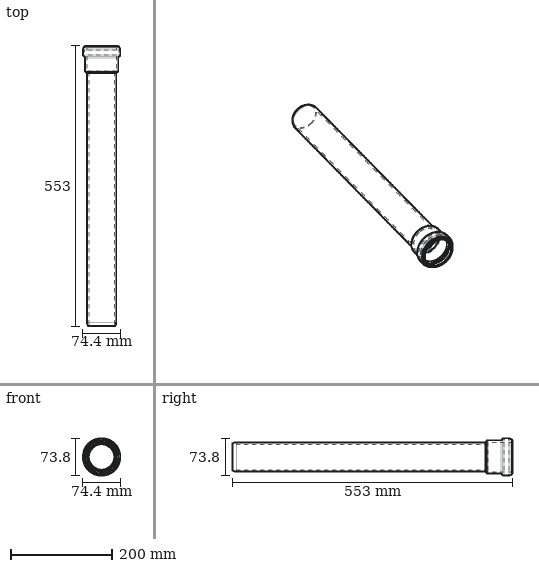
import cadquery as cq
import math


total_length = 553.0
pipe_outer_radius = 58.0 / 2
pipe_bore_radius = 50.0 / 2

spigot_rounding_length = 7.0
spigot_rounding_depth = 2.3

socket_outer_radius = 66.1 / 2
socket_bore_radius = 58.5 / 2
socket_length = 54.0
socket_shoulder_length = 5.0
shoulder_rounding_length = 1.8
shoulder_rounding_depth = 0.5

bead_outer_radius = 74.4 / 2
bead_edge_radius = 73.8 / 2
bead_mouth_radius = 64.6 / 2
bead_lip_radius = 71.2 / 2
bead_lip_length = 3.6
bead_rim_radius = 69.6 / 2
bead_rim_length = 2.2
bead_crown_start = 7.3
bead_crown_end = 17.5
bead_end = 24.0
seal_groove_radius = 67.6 / 2

spigot_end_y = -total_length / 2
mouth_y = total_length / 2
socket_end_y = mouth_y - socket_length
shoulder_y = socket_end_y + socket_shoulder_length
bead_end_y = mouth_y - bead_end
crown_end_y = mouth_y - bead_crown_end
rim_y = mouth_y - bead_rim_length
lip_y = mouth_y - bead_lip_length
crown_start_y = mouth_y - bead_crown_start


def revolve_about_axis(profile):
    """Turn a closed half profile (radius along X, axis along Y) into a solid."""
    return profile.close().revolve(360, (0, 0, 0), (0, 1, 0))


def rounding_mid(start, end):
    """Middle point of the convex arc that leaves start parallel to the axis and reaches end."""
    drop = start[0] - end[0]
    run = abs(end[1] - start[1])
    direction = math.copysign(1, end[1] - start[1])
    arc_radius = (run**2 + drop**2) / (2 * drop)
    half_angle = math.atan2(run, arc_radius - drop) / 2
    mid_radius = start[0] - arc_radius * (1 - math.cos(half_angle))
    return (mid_radius, start[1] + direction * arc_radius * math.sin(half_angle))


def outer_body():
    """Solid envelope of the spigot, pipe, socket and bead."""
    rear_mid = ((bead_edge_radius + socket_outer_radius) / 2, (crown_end_y + bead_end_y) / 2)
    crown_mid = (bead_outer_radius, (crown_start_y + crown_end_y) / 2)
    spigot_start = (pipe_outer_radius, spigot_end_y + spigot_rounding_length)
    spigot_tip = (pipe_outer_radius - spigot_rounding_depth, spigot_end_y)
    shoulder_start = (socket_outer_radius, shoulder_y)
    shoulder_cone_start = (
        socket_outer_radius - shoulder_rounding_depth,
        shoulder_y - shoulder_rounding_length,
    )
    profile = (
        cq.Workplane("XY")
        .moveTo(0, spigot_end_y)
        .lineTo(*spigot_tip)
        .threePointArc(rounding_mid(spigot_start, spigot_tip), spigot_start)
        .lineTo(pipe_outer_radius, socket_end_y)
        .lineTo(*shoulder_cone_start)
        .threePointArc(rounding_mid(shoulder_start, shoulder_cone_start), shoulder_start)
        .lineTo(socket_outer_radius, bead_end_y)
        .tangentArcPoint(rear_mid, relative=False)
        .tangentArcPoint((bead_edge_radius, crown_end_y), relative=False)
        .threePointArc(crown_mid, (bead_edge_radius, crown_start_y))
        .tangentArcPoint((bead_lip_radius, lip_y), relative=False)
        .tangentArcPoint((bead_rim_radius, rim_y), relative=False)
        .lineTo(bead_mouth_radius, mouth_y)
        .lineTo(0, mouth_y)
    )
    return revolve_about_axis(profile)


def inner_space():
    """Pipe bore, tapered step, wider socket bore and the seal groove under the bead crown."""
    profile = (
        cq.Workplane("XY")
        .moveTo(0, spigot_end_y)
        .lineTo(pipe_bore_radius, spigot_end_y)
        .lineTo(pipe_bore_radius, socket_end_y)
        .lineTo(socket_bore_radius, shoulder_y)
        .lineTo(socket_bore_radius, crown_end_y)
        .lineTo(seal_groove_radius, crown_end_y)
        .lineTo(seal_groove_radius, crown_start_y)
        .lineTo(socket_bore_radius, crown_start_y)
        .lineTo(socket_bore_radius, mouth_y)
        .lineTo(0, mouth_y)
    )
    return revolve_about_axis(profile)


result = outer_body().cut(inner_space())